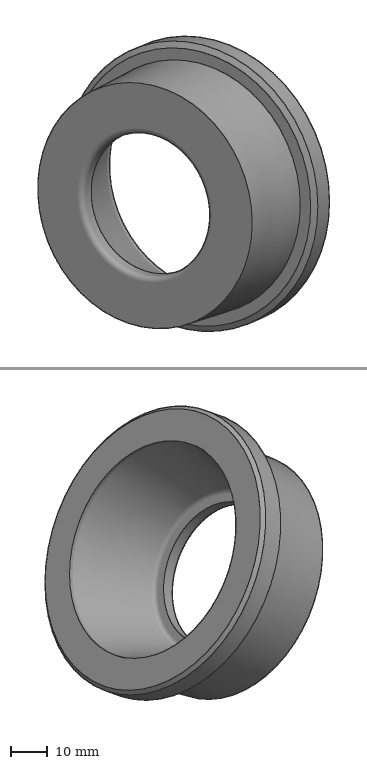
import cadquery as cq

flange_diameter = 81.0
total_length = 31.0
flange_thickness = 8.1

body_front_diameter = 68.6
body_back_diameter = 70.95

chamfer_radial = 1.7
front_chamfer_axial = 1.0
back_chamfer = 1.05

bore_diameter = 40.0
mouth_radius = 1.5
bore_depth = 4.5

cavity_front_diameter = 46.3
cavity_back_diameter = 61.0
opening_depth = 1.3
cavity_floor_fillet = 1.3

flange_front = total_length - flange_thickness


def make_body():
    """Revolve the solid outside: a tapered body and a chamfered flange."""
    flange_radius = flange_diameter / 2
    return (
        cq.Workplane("XY")
        .lineTo(body_front_diameter / 2, 0)
        .lineTo(body_back_diameter / 2, flange_front)
        .lineTo(flange_radius - chamfer_radial, flange_front)
        .lineTo(flange_radius, flange_front + front_chamfer_axial)
        .lineTo(flange_radius, total_length - back_chamfer)
        .lineTo(flange_radius - back_chamfer, total_length)
        .lineTo(0, total_length)
        .close()
        .revolve(360, (0, 0), (0, 1))
    )


def make_cavity():
    """Revolve the hollow: rounded mouth, bore, step, cone and back opening."""
    bore_radius = bore_diameter / 2
    opening_radius = cavity_back_diameter / 2
    hollow = (
        cq.Workplane("XY")
        .lineTo(bore_radius + mouth_radius, 0)
        .radiusArc((bore_radius, mouth_radius), mouth_radius)
        .lineTo(bore_radius, bore_depth)
        .lineTo(cavity_front_diameter / 2, bore_depth)
        .lineTo(opening_radius, total_length - opening_depth)
        .lineTo(opening_radius, total_length)
        .lineTo(0, total_length)
        .close()
        .revolve(360, (0, 0), (0, 1))
    )
    floor_edges = hollow.faces("%CONE").edges("<Y")
    return floor_edges.fillet(cavity_floor_fillet)


result = make_body().cut(make_cavity())